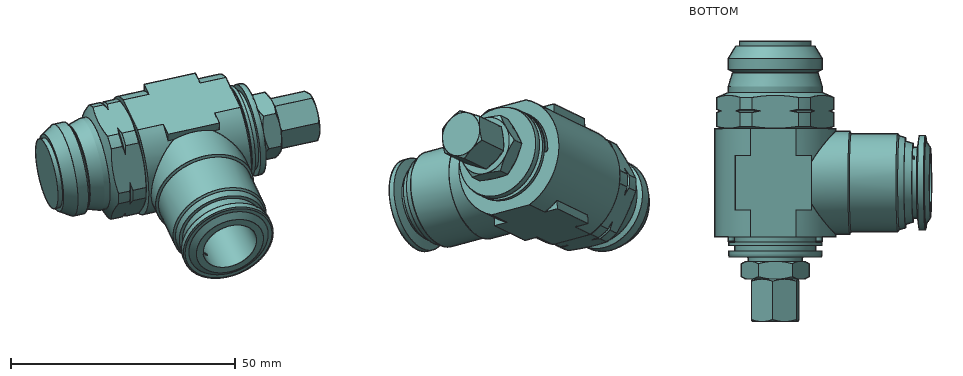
import cadquery as cq
import math

branch_tilt = 2.1

plug_end = -31.55
plug_tip_end = -30.5
plug_nose_end = -27.7
plug_groove_front = -25.25
plug_groove_bottom = -24.55
plug_groove_back = -24.5
plug_taper_start = -21.45
stem_end = plug_end + 62.5
body_half_length = 12.05
nut_front = -20.1
nut_groove_y = -16.0
locknut_back = 17.5
locknut_end = 21.5

body_radius = 13.5
plug_radius = 10.5
plug_groove_radius = 9.1
plug_taper_end_radius = 9.55
plug_cone_end_radius = 8.8
plug_tip_radius = 8.0

flat_height = 12.5
pad_width = 17.0
pad_length = 12.05

flat_up_turn = 30

nut_apothem = 12.0
nut_corner_radius = 13.05
nut_front_chamfer = 1.1
nut_back_radius = 11.75
nut_back_chamfer = 0.5
nut_groove_depth = 0.6
nut_groove_half_width = 0.4

collar_core_radius = 9.05
flange_radius = 10.45
flange_top_radius = 10.3
lower_flange = (13.25, 14.0)
upper_flange = (15.2, 16.55)
upper_flange_taper = 0.55
neck_radius = 6.05
neck_fillet = 0.3
stop_end = 13.05

locknut_apothem = 6.55
locknut_chamfer = 0.55
stem_corner_radius = 5.8
stem_turn = 6
stem_chamfer = 0.45

branch_collar_radius = 11.5
branch_collar_end = 16.6
branch_radius = 10.95
branch_step_chamfer = 0.3
first_lip_start = 27.7
first_lip_length = 1.4
first_lip_radii = (10.5, 10.05)
first_lip_end = first_lip_start + first_lip_length
branch_end_chamfer = 0.4
second_lip_radii = (9.3, 8.8)
sleeve_neck_start = 30.75
sleeve_neck_radius = 7.95
push_flange_radius = 10.55
push_flange_start = 31.75
push_flange_end = 33.6
push_flange_rear_taper = 0.4
push_flange_front_chamfer = (0.2, 0.4)
sleeve_cone_radius = 9.3
sleeve_end_radius = 7.9
branch_length = 34.6
tube_bore_radius = 6.25
tube_bore_start = branch_collar_end
slot_width = 0.9
slot_length = 0.45
slot_angle = 45


def turned_about_y(profile):
    """Solid of revolution from (radius, y) points, closed along the Y axis."""
    points = [(0, profile[0][1])] + profile + [(0, profile[-1][1])]
    return cq.Workplane("XY").polyline(points).close().revolve(360, (0, 0), (0, 1))


def turned_about_x(profile):
    """Solid of revolution from (x, radius) points, closed along the X axis."""
    points = [(profile[0][0], 0)] + profile + [(profile[-1][0], 0)]
    return cq.Workplane("XY").polyline(points).close().revolve(360, (0, 0), (1, 0))


def hex_prism(corner_radius, y_start, y_end, turn):
    """Hexagon along Y whose first corner lies `turn` degrees from +Z towards +X."""
    corners = []
    for i in range(6):
        angle = math.radians(turn + 60 * i)
        corners.append((corner_radius * math.sin(angle), corner_radius * math.cos(angle)))
    section = cq.Workplane("XZ", origin=(0, y_start, 0)).polyline(corners).close()
    return section.extrude(y_start - y_end)


def tilted(shape):
    return shape.rotate((0, 0, 0), (0, 1, 0), branch_tilt)


def corner_radius_of(apothem):
    return apothem / math.cos(math.radians(30))


def make_body():
    cylinder = turned_about_y([(body_radius, -body_half_length), (body_radius, body_half_length)])
    between_flats = cq.Workplane("XY").box(3 * body_radius, 2 * body_half_length, 2 * flat_height)
    pads = cq.Workplane("XY").box(pad_width, pad_length, 2 * flat_height)
    return cylinder.intersect(tilted(between_flats)).union(tilted(pads))


def make_plug():
    return turned_about_y([
        (plug_tip_radius, plug_end),
        (plug_tip_radius, plug_tip_end),
        (plug_cone_end_radius, plug_tip_end),
        (plug_radius, plug_nose_end),
        (plug_radius, plug_groove_front),
        (plug_groove_radius, plug_groove_bottom),
        (plug_taper_end_radius, plug_groove_back),
        (plug_radius, plug_taper_start),
        (plug_radius, -body_half_length),
    ])


def make_nut():
    groove_radius = nut_corner_radius - nut_groove_depth
    envelope = turned_about_y([
        (plug_radius, nut_front),
        (nut_corner_radius, nut_front + nut_front_chamfer),
        (nut_corner_radius, nut_groove_y - nut_groove_half_width),
        (groove_radius, nut_groove_y),
        (nut_corner_radius, nut_groove_y + nut_groove_half_width),
        (nut_corner_radius, -body_half_length - nut_back_chamfer),
        (nut_back_radius, -body_half_length),
    ])
    prism = hex_prism(corner_radius_of(nut_apothem), nut_front, -body_half_length, flat_up_turn)
    return prism.intersect(envelope)


def make_collar():
    collar = turned_about_y([
        (collar_core_radius, body_half_length),
        (collar_core_radius, lower_flange[0]),
        (flange_radius, lower_flange[0]),
        (flange_radius, lower_flange[1]),
        (collar_core_radius, lower_flange[1]),
        (collar_core_radius, upper_flange[0]),
        (flange_radius, upper_flange[0]),
        (flange_radius, upper_flange[1] - upper_flange_taper),
        (flange_top_radius, upper_flange[1]),
        (neck_radius, upper_flange[1]),
        (neck_radius, locknut_back),
    ])
    tolerance = 0.005
    neck_root = collar.edges("%CIRCLE").filter(
        lambda edge: abs(edge.radius() - neck_radius) < tolerance
        and abs(edge.Center().y - upper_flange[1]) < tolerance
    )
    return neck_root.fillet(neck_fillet)


def make_stop():
    """Half ring on the upper side of the collar, with fully rounded ends."""
    mid_radius = (plug_radius + collar_core_radius) / 2
    end_radius = (plug_radius - collar_core_radius) / 2
    height = stop_end - body_half_length
    disc = turned_about_y([(plug_radius, body_half_length), (plug_radius, stop_end)])
    upper_half = cq.Workplane("XY").box(
        2 * plug_radius, 2 * stop_end, plug_radius, centered=(True, True, False)
    )
    rounded_ends = (
        cq.Workplane("XZ", origin=(0, body_half_length, 0))
        .pushPoints([(-mid_radius, 0), (mid_radius, 0)])
        .circle(end_radius)
        .extrude(-height)
    )
    return disc.intersect(upper_half).union(rounded_ends)


def make_locknut():
    corner_radius = corner_radius_of(locknut_apothem)
    envelope = turned_about_y([
        (locknut_apothem, locknut_back),
        (corner_radius, locknut_back + locknut_chamfer),
        (corner_radius, locknut_end - locknut_chamfer),
        (locknut_apothem, locknut_end),
    ])
    return hex_prism(corner_radius, locknut_back, locknut_end, flat_up_turn).intersect(envelope)


def make_stem():
    apothem = stem_corner_radius * math.cos(math.radians(30))
    envelope = turned_about_y([
        (apothem, locknut_end),
        (stem_corner_radius, locknut_end + stem_chamfer),
        (stem_corner_radius, stem_end - stem_chamfer),
        (apothem, stem_end),
    ])
    prism = hex_prism(stem_corner_radius, locknut_end, stem_end, stem_turn)
    return prism.intersect(envelope)


def make_branch():
    chamfer_length, chamfer_depth = push_flange_front_chamfer
    return tilted(turned_about_x([
        (0, branch_collar_radius),
        (branch_collar_end, branch_collar_radius),
        (branch_collar_end + branch_step_chamfer, branch_radius),
        (first_lip_start - branch_end_chamfer, branch_radius),
        (first_lip_start, first_lip_radii[0]),
        (first_lip_end, first_lip_radii[1]),
        (first_lip_end, second_lip_radii[0]),
        (sleeve_neck_start, second_lip_radii[1]),
        (sleeve_neck_start, sleeve_neck_radius),
        (push_flange_start, sleeve_neck_radius),
        (push_flange_start + push_flange_rear_taper, push_flange_radius),
        (push_flange_end - chamfer_length, push_flange_radius),
        (push_flange_end, push_flange_radius - chamfer_depth),
        (push_flange_end, sleeve_cone_radius),
        (branch_length, sleeve_end_radius),
    ]))


def make_tube_bore():
    """Blind tube bore with a slot pair through the release sleeve neck."""
    bore = turned_about_x([(tube_bore_start, tube_bore_radius), (branch_length, tube_bore_radius)])
    slot = cq.Workplane("XY").box(slot_length, 2 * sleeve_neck_radius, slot_width)
    slot = slot.translate((sleeve_neck_start + slot_length / 2, 0, 0))
    slot = slot.rotate((0, 0, 0), (1, 0, 0), slot_angle)
    return tilted(bore.union(slot))


result = (
    make_body()
    .union(make_plug())
    .union(make_nut())
    .union(make_collar())
    .union(make_stop())
    .union(make_locknut())
    .union(make_stem())
    .union(make_branch())
    .cut(make_tube_bore())
)